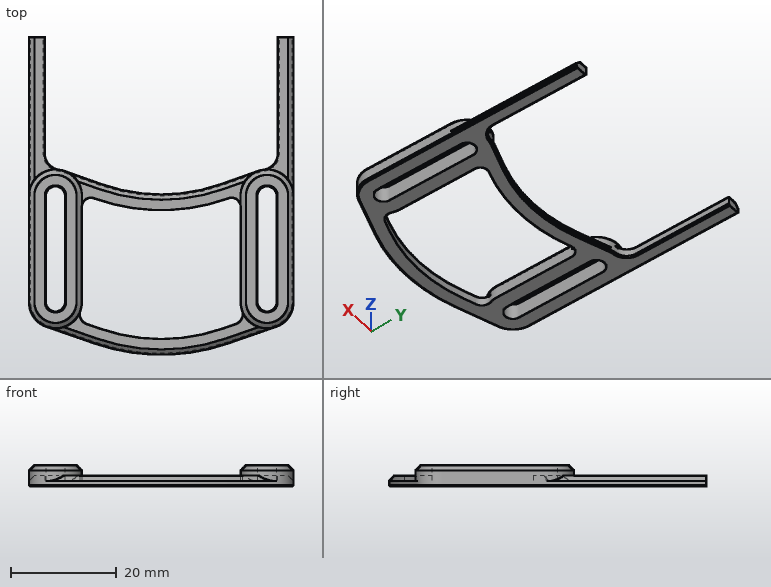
import cadquery as cq
import math

width = 50.0
length = 60.0
plate_height = 2.05
bar_width = 3.0
edge_chamfer = 1.0
bottom_chamfer = 0.3

pad_width = 10.0
pad_height = 4.0
pad_spacing = 20.0
lower_round_y = 10.0
slot_width = 3.65
slot_lip = 0.2

lower_bar_radius = 38.0
upper_bar_radius = 34.0
upper_bar_y = 30.3

arm_fillet = 3.0
upper_window_fillet = 1.7
lower_window_fillet = 2.0

pad_radius = pad_width / 2
pad_x = width / 2 - pad_radius
upper_round_y = lower_round_y + pad_spacing
pad_mid_y = (lower_round_y + upper_round_y) / 2
arm_inner_x = width / 2 - bar_width
window_side_x = pad_x - pad_radius


def stadium(across, height, base=0.0):
    """Upright prism with rounded ends, centred on the right-hand pad."""
    return (
        cq.Workplane("XY", origin=(pad_x, pad_mid_y, base))
        .slot2D(pad_spacing + across, across, 90)
        .extrude(height)
    )


def both_sides(shape):
    """The right-hand shape together with its mirror image."""
    return shape.union(shape.mirror("YZ"))


def curved_bar(centre_y, outside_radius, free_radius, round_y, normal_gap):
    """Arc with straight tangent ends; the outside edge is tangent to the pad rounds.

    normal_gap is the distance from the arc centre to the pad round centre,
    measured square to the straight ends.
    """
    rise = centre_y - round_y
    centre_gap = math.hypot(pad_x, rise)
    slope = math.atan2(pad_x, rise) - math.acos(normal_gap / centre_gap)
    straight = math.sqrt(centre_gap**2 - normal_gap**2)

    def edge_points(radius):
        tangent_x = radius * math.sin(slope)
        tangent_y = centre_y - radius * math.cos(slope)
        end_x = tangent_x + straight * math.cos(slope)
        end_y = tangent_y + straight * math.sin(slope)
        return (tangent_x, tangent_y), (end_x, end_y)

    def mirrored(point):
        return (-point[0], point[1])

    outside_tangent, outside_end = edge_points(outside_radius)
    free_tangent, free_end = edge_points(free_radius)
    outside_middle = (0, centre_y - outside_radius)
    bar = (
        cq.Workplane("XY")
        .moveTo(*mirrored(outside_end))
        .lineTo(*mirrored(outside_tangent))
        .threePointArc(outside_middle, outside_tangent)
        .lineTo(*outside_end)
        .lineTo(*free_end)
        .lineTo(*free_tangent)
        .threePointArc((0, centre_y - free_radius), mirrored(free_tangent))
        .lineTo(*mirrored(free_end))
        .close()
        .extrude(plate_height)
    )
    outside_edge = cq.selectors.NearestToPointSelector((*outside_middle, plate_height))
    return bar.edges(outside_edge).chamfer(edge_chamfer)


def arm():
    """Straight arm running from the pad to the +Y end, bevelled on its outer edge."""
    return (
        cq.Workplane("XY")
        .box(bar_width, length - upper_round_y, plate_height, centered=False)
        .edges(">X and >Z")
        .chamfer(edge_chamfer)
        .translate((arm_inner_x, upper_round_y, 0))
    )


def fillet_corner_pair(shape, corner, radius):
    """Fillet the upright edge nearest to corner, and its mirror image."""
    corner_x, corner_y = corner
    mid_height = plate_height / 2
    right = cq.selectors.NearestToPointSelector((corner_x, corner_y, mid_height))
    left = cq.selectors.NearestToPointSelector((-corner_x, corner_y, mid_height))
    upright = cq.selectors.ParallelDirSelector(cq.Vector(0, 0, 1))
    uprights = shape.edges(upright)
    return uprights.edges(right).add(uprights.edges(left)).fillet(radius)


lower_bar = curved_bar(
    centre_y=lower_bar_radius,
    outside_radius=lower_bar_radius,
    free_radius=lower_bar_radius - bar_width,
    round_y=lower_round_y,
    normal_gap=lower_bar_radius - pad_radius,
)
upper_bar = curved_bar(
    centre_y=upper_bar_y + upper_bar_radius,
    outside_radius=upper_bar_radius,
    free_radius=upper_bar_radius + bar_width,
    round_y=upper_round_y,
    normal_gap=upper_bar_radius + pad_radius,
)

plate = both_sides(stadium(pad_width, plate_height).union(arm())).union(lower_bar).union(upper_bar)

plate = fillet_corner_pair(plate, (arm_inner_x, upper_round_y + pad_radius), arm_fillet)
plate = fillet_corner_pair(plate, (window_side_x, upper_bar_y), upper_window_fillet)
plate = fillet_corner_pair(plate, (window_side_x, lower_round_y - pad_radius), lower_window_fillet)

outline = cq.selectors.LengthNthSelector(-1)
plate = plate.faces("<Z").wires(outline).edges("not >Y").chamfer(bottom_chamfer)

pad = stadium(pad_width, pad_height - bottom_chamfer, bottom_chamfer).faces(">Z").chamfer(edge_chamfer)
result = plate.union(both_sides(pad)).cut(both_sides(stadium(slot_width, pad_height)))

slot_outlines = cq.selectors.LengthNthSelector(0)
result = result.faces(">Z").wires(slot_outlines).edges().chamfer(slot_lip)